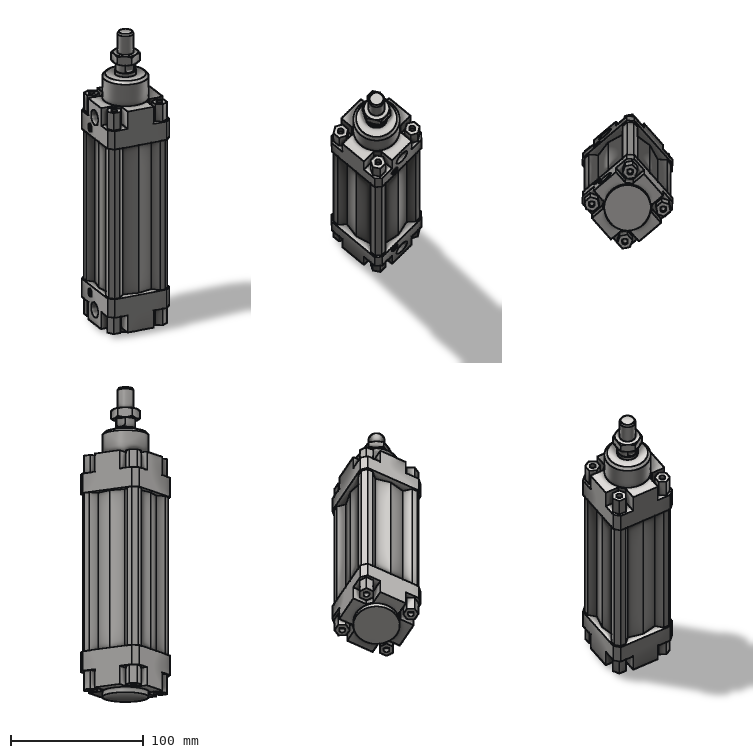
import cadquery as cq
import math

width = 52.0
total_length = 238.0

cap_length = 29.0
cap_chamfer = 4.0
spigot_length = 4.0
collar_length = 19.8
collar_diameter = 35.0
collar_chamfer = 2.1
front_cap_top = 184.2
pocket_depth = 14.0
pocket_edge = 11.0
pocket_bevel = 4.0

bolt_offset = 19.0
bolt_across_flats = 10.0
socket_diameter = 4.5
socket_depth = 4.8
socket_tip = socket_diameter / 2

port_diameter = 12.0
port_depth = 12.0
port_inset = 11.7
screw_diameter = 6.5
screw_depth = 1.5
screw_inset = 22.8
screw_x = -7.9

barrel_half = 24.8
corner_flat = 21.2
groove_edge = 17.0
groove_foot = 12.0
ridge_height = 22.4

rod_diameter = 16.0
shoulder_height = 2.9
neck_diameter = 15.0
neck_top = 214.0
wrench_flats = 13.0
runout_radius = 2.1
thread_diameter = 12.1
thread_chamfer_height = 1.7
thread_chamfer_width = 1.0

nut_height = 7.4
nut_across_flats = 19.0
nut_chamfer_angle = 30

half = width / 2
rear_cap_bottom = spigot_length
barrel_bottom = rear_cap_bottom + cap_length
barrel_top = front_cap_top - cap_length
pocket_floor = front_cap_top - pocket_depth
collar_top = front_cap_top + collar_length
shoulder_top = collar_top + shoulder_height
hex_corner_ratio = 2 / math.sqrt(3)


def cylinder(diameter, bottom, top):
    return cq.Workplane("XY", origin=(0, 0, bottom)).circle(diameter / 2).extrude(top - bottom)


def turned(outline):
    """Solid of revolution about the Z axis from (radius, z) points."""
    return cq.Workplane("XZ").polyline(outline).close().revolve(360, (0, 0), (0, 1))


def hexagon(across_flats, bottom, top):
    """Hexagonal prism with two corners on the X axis."""
    corners = across_flats * hex_corner_ratio
    return cq.Workplane("XY", origin=(0, 0, bottom)).polygon(6, corners).extrude(top - bottom)


def four_around(shape):
    """Copies of a shape at quarter turns about the Z axis."""
    return [shape.rotate((0, 0, 0), (0, 0, 1), 90 * turn) for turn in range(4)]


def corner_pocket():
    bevel_end = pocket_edge + pocket_bevel
    outline = [
        (-pocket_edge, -half),
        (-pocket_edge, -bevel_end),
        (-bevel_end, -pocket_edge),
        (-half, -pocket_edge),
        (-half, -half),
    ]
    return cq.Workplane("XY", origin=(0, 0, pocket_floor)).polyline(outline).close().extrude(pocket_depth)


def bolt_head():
    socket_outline = [
        (0, front_cap_top),
        (socket_diameter / 2, front_cap_top),
        (socket_diameter / 2, front_cap_top - socket_depth),
        (0, front_cap_top - socket_depth - socket_tip),
    ]
    socket = turned(socket_outline)
    head = hexagon(bolt_across_flats, pocket_floor, front_cap_top).cut(socket)
    return head.translate((-bolt_offset, -bolt_offset, 0))


def face_hole(x, inset, diameter, depth):
    """Blind hole into the -Y face of the front cap."""
    start = cq.Workplane("XZ", origin=(x, -half, front_cap_top - inset))
    return start.circle(diameter / 2).extrude(-depth)


def front_cap():
    cap = cq.Workplane("XY", origin=(0, 0, barrel_top)).rect(width, width).extrude(cap_length)
    cap = cap.edges("|Z").chamfer(cap_chamfer)
    for pocket in four_around(corner_pocket()):
        cap = cap.cut(pocket)
    for head in four_around(bolt_head()):
        cap = cap.union(head)
    cap = cap.cut(face_hole(0, port_inset, port_diameter, port_depth))
    return cap.cut(face_hole(screw_x, screw_inset, screw_diameter, screw_depth))


def barrel():
    groove_depth = groove_edge - groove_foot
    side = [
        (-corner_flat, -barrel_half),
        (-groove_edge, -barrel_half),
        (-groove_foot, -barrel_half + groove_depth),
        (0, -ridge_height),
        (groove_foot, -barrel_half + groove_depth),
        (groove_edge, -barrel_half),
        (corner_flat, -barrel_half),
    ]
    outline = []
    for _ in range(4):
        outline += side
        side = [(-y, x) for x, y in side]
    length = barrel_top - barrel_bottom
    return cq.Workplane("XY", origin=(0, 0, barrel_bottom)).polyline(outline).close().extrude(length)


def make_housing():
    front = front_cap()
    rear = front.mirror("XY", (0, 0, (front_cap_top + rear_cap_bottom) / 2))
    collar = cylinder(collar_diameter, front_cap_top, collar_top).faces(">Z").chamfer(collar_chamfer)
    spigot = cylinder(collar_diameter, 0, rear_cap_bottom)
    rod_bore = cylinder(rod_diameter, barrel_top, collar_top)
    return barrel().union(front).union(rear).union(collar).union(spigot).cut(rod_bore)


def wrench_cut():
    """Cutter for the flat on the +X side of the neck, with a rounded run-out."""
    inner = wrench_flats / 2
    diagonal = runout_radius * math.sqrt(0.5)
    arc_x = inner + runout_radius
    arc_z = shoulder_top + runout_radius
    outline = (
        cq.Workplane("XZ")
        .moveTo(inner, neck_top)
        .lineTo(inner, arc_z)
        .threePointArc((arc_x - diagonal, arc_z - diagonal), (arc_x, shoulder_top))
        .lineTo(rod_diameter, shoulder_top)
        .lineTo(rod_diameter, neck_top)
        .close()
    )
    return outline.extrude(rod_diameter, both=True)


def make_rod():
    shaft = cylinder(rod_diameter, barrel_top, shoulder_top)
    flat = wrench_cut()
    neck = cylinder(neck_diameter, shoulder_top, neck_top).cut(flat).cut(flat.mirror("YZ"))
    thread_outline = [
        (0, neck_top),
        (thread_diameter / 2, neck_top),
        (thread_diameter / 2, total_length - thread_chamfer_height),
        (thread_diameter / 2 - thread_chamfer_width, total_length),
        (0, total_length),
    ]
    thread = turned(thread_outline)
    return shaft.union(neck).union(thread)


def make_nut():
    nut_top = neck_top + nut_height
    flat_radius = nut_across_flats / 2
    corner_radius = flat_radius * hex_corner_ratio
    chamfer_drop = (corner_radius - flat_radius) * math.tan(math.radians(nut_chamfer_angle))
    envelope_outline = [
        (0, neck_top),
        (flat_radius, neck_top),
        (corner_radius, neck_top + chamfer_drop),
        (corner_radius, nut_top - chamfer_drop),
        (flat_radius, nut_top),
        (0, nut_top),
    ]
    envelope = turned(envelope_outline)
    blank = hexagon(nut_across_flats, neck_top, nut_top).intersect(envelope)
    return blank.cut(cylinder(thread_diameter, neck_top, nut_top))


housing = make_housing()
rod = make_rod()
nut = make_nut()

result = cq.Compound.makeCompound([housing.val(), rod.val(), nut.val()])